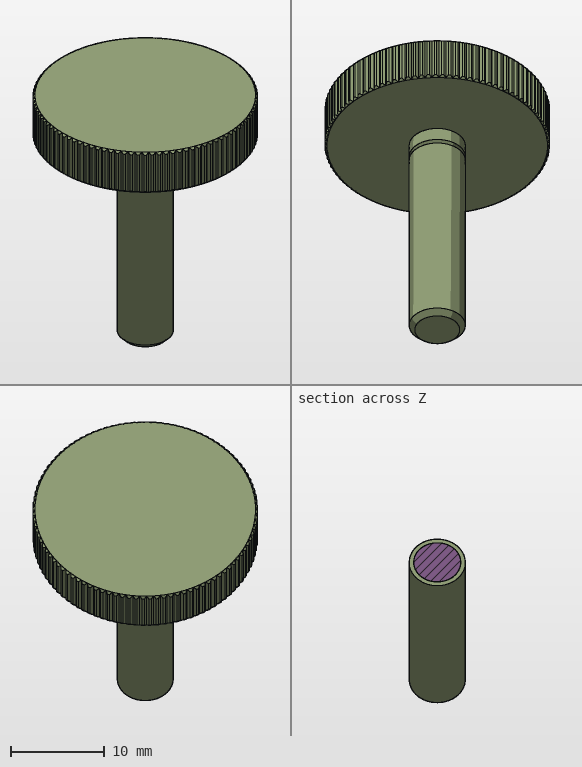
import cadquery as cq
import math

total_height = 30.0
head_diameter = 24.0
head_thickness = 5.0
shank_diameter = 6.0

head_chamfer = 0.25
tip_chamfer = 0.6
collar_length = 1.5
groove_depth = 0.48

tooth_count = 100
knurl_depth = 0.25

head_radius = head_diameter / 2
shank_radius = shank_diameter / 2
head_bottom = total_height - head_thickness
groove_top = head_bottom - collar_length
groove_bottom = groove_top - groove_depth


def make_head():
    """Disc with both rims chamfered and its flat bottom at head_bottom."""
    disc = cq.Workplane("XY").workplane(offset=head_bottom).circle(head_radius).extrude(head_thickness)
    return disc.faces("<Z or >Z").edges().chamfer(head_chamfer)


def knurled_blank():
    """Prism whose V-notched outline gives the head its knurl; one notch points along +X."""
    root_radius = head_radius - knurl_depth
    pitch_angle = 2 * math.pi / tooth_count
    notch_half_angle = knurl_depth / head_radius

    def point(radius, angle):
        return (radius * math.cos(angle), radius * math.sin(angle))

    outline = cq.Workplane("XY").workplane(offset=head_bottom).moveTo(root_radius, 0)
    for tooth in range(tooth_count):
        notch = tooth * pitch_angle
        next_notch = notch + pitch_angle
        outline = (
            outline.lineTo(*point(head_radius, notch + notch_half_angle))
            .threePointArc(
                point(head_radius, notch + pitch_angle / 2),
                point(head_radius, next_notch - notch_half_angle),
            )
        )
        if tooth < tooth_count - 1:
            outline = outline.lineTo(*point(root_radius, next_notch))
    return outline.close().extrude(head_thickness)


def make_shank():
    """Revolved shank with a chamfered tip and a relief groove below the collar."""
    return (
        cq.Workplane("XZ")
        .moveTo(0, 0)
        .lineTo(shank_radius - tip_chamfer, 0)
        .lineTo(shank_radius, tip_chamfer)
        .lineTo(shank_radius, groove_bottom)
        .lineTo(shank_radius - groove_depth, groove_bottom)
        .lineTo(shank_radius, groove_top)
        .lineTo(shank_radius, head_bottom)
        .lineTo(0, head_bottom)
        .close()
        .revolve(360, (0, 0, 0), (0, 1, 0))
    )


knurled_head = make_head().intersect(knurled_blank())
result = knurled_head.union(make_shank())